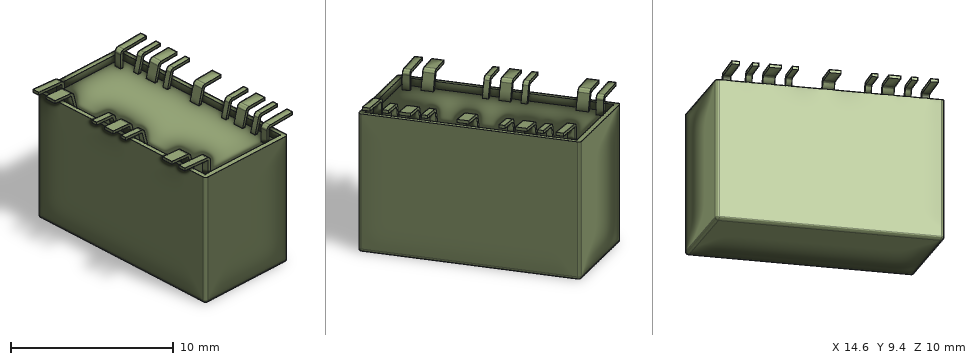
import cadquery as cq
import math

case_length = 14.6
case_width = 7.18
case_height = 9.1
case_edge_radius = 0.2
end_wall = 0.35
side_wall = 0.3
recess_depth = 0.5
floor_z = case_height - recess_depth

lead_thickness = 0.2
bend_inner_radius = 0.1
bend_outer_radius = bend_inner_radius + lead_thickness
arm_rise_angle = 3.0
tip_y = 4.7
tip_z = 10.0

upright_foot_y = 2.45
upright_angle = 0.0
leaning_foot_y = 2.76
leaning_angle = 15.0

lead_pitch = 1.27
corner_width = 0.5
narrow_width = 0.4
wide_width = 0.76
extra_wide_width = 0.8

corner_step = 5
back_row = [
    (-4, narrow_width),
    (-3, wide_width),
    (-2, narrow_width),
    (0, wide_width),
    (2, narrow_width),
    (3, wide_width),
    (4, narrow_width),
]
front_row = [
    (-4, extra_wide_width),
    (-1, narrow_width),
    (0, wide_width),
    (1, narrow_width),
    (4, extra_wide_width),
]


def make_case():
    case = cq.Workplane("XY").box(case_length, case_width, case_height, centered=(True, True, False))
    case = case.edges("|Z or <Z").fillet(case_edge_radius)
    recess = (
        cq.Workplane("XY")
        .workplane(offset=floor_z)
        .rect(case_length - 2 * end_wall, case_width - 2 * side_wall)
        .extrude(recess_depth)
    )
    return case.cut(recess)


def knee_point(foot_y, lean, inset):
    """Corner (y, z) where the leg and arm faces meet, set inside the outer faces by inset."""
    leg_slope = math.tan(math.radians(lean))
    arm_slope = math.tan(math.radians(arm_rise_angle))
    leg_y = foot_y + inset / math.cos(math.radians(lean))
    arm_z = tip_z - inset / math.cos(math.radians(arm_rise_angle))
    y = (leg_y + (arm_z - tip_y * arm_slope - floor_z) * leg_slope) / (1 - arm_slope * leg_slope)
    return y, arm_z - (tip_y - y) * arm_slope


def make_lead(x, width, foot_y, lean):
    """Lead of the back row (+Y), centred on x."""
    outer_knee = knee_point(foot_y, lean, 0)
    inner_knee = knee_point(foot_y, lean, lead_thickness)
    foot_length = lead_thickness / math.cos(math.radians(lean))
    tip_height = lead_thickness / math.cos(math.radians(arm_rise_angle))
    lead = (
        cq.Workplane("YZ")
        .workplane(offset=x - width / 2)
        .moveTo(foot_y, floor_z)
        .lineTo(*outer_knee)
        .lineTo(tip_y, tip_z)
        .lineTo(tip_y, tip_z - tip_height)
        .lineTo(*inner_knee)
        .lineTo(foot_y + foot_length, floor_z)
        .close()
        .extrude(width)
    )
    for knee, radius in ((outer_knee, bend_outer_radius), (inner_knee, bend_inner_radius)):
        lead = lead.edges(cq.NearestToPointSelector((x, *knee))).fillet(radius)
    return lead


def make_row(leaning_leads):
    """All leads of one row: the leaning ones plus an upright lead at each end."""
    leads = []
    for step, width in leaning_leads:
        leads.append(make_lead(step * lead_pitch, width, leaning_foot_y, leaning_angle))
    for step in (-corner_step, corner_step):
        leads.append(make_lead(step * lead_pitch, corner_width, upright_foot_y, upright_angle))
    return leads


result = make_case()
for back_lead in make_row(back_row):
    result = result.union(back_lead)
for front_lead in make_row(front_row):
    result = result.union(front_lead.mirror("XZ"))